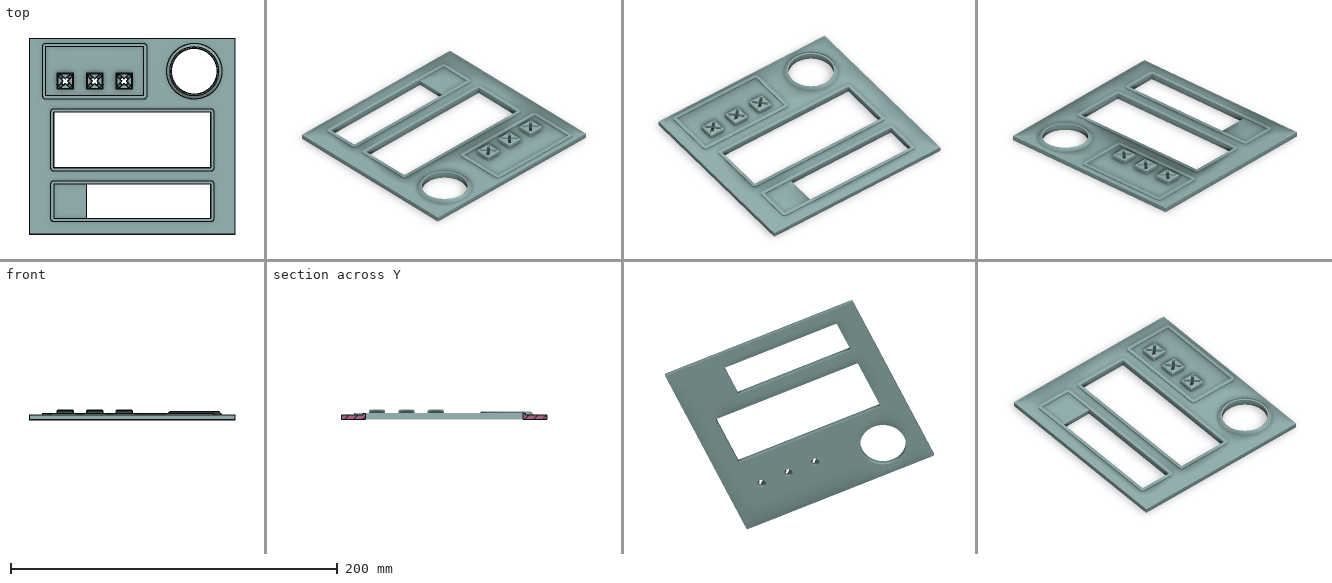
import cadquery as cq

PLATE_X = 126.0
PLATE_Y = 120.0
PLATE_Z = 3.0

RIM_WIDTH = 2.0
RIM_HEIGHT = 1.0
RIM_CORNER_RADIUS = RIM_WIDTH
TOP_MARGIN = 3.0
RIM_GAP = 6.0
COLLAR_GAP = 12.0

LAMP_FIELD_X = 60.0
LAMP_FIELD_Y = 30.0
WINDOW_X = 96.0
DISPLAY_WINDOW_Y = 34.0
LABEL_FIELD_Y = 20.9
LABEL_PAD_X = 20.0

COLLAR_HOLE_DIAMETER = 28.0
COLLAR_SEAT_DIAMETER = 30.0
COLLAR_HEIGHT = 2.0
COLLAR_SEAT_DEPTH = 1.0
COLLAR_BASE_DIAMETER = COLLAR_SEAT_DIAMETER + 2 * COLLAR_HEIGHT

LAMP_COUNT = 3
LAMP_PITCH = 18.0
LAMP_SIZE = 10.0
LAMP_HEIGHT = 3.0
LAMP_EDGE_CHAMFER = 0.5
LAMP_OFFSET_Y = 6.0
LAMP_BORE_DIAMETER = 5.0
CROSS_ARM_LENGTH = 10.2
CROSS_ARM_WIDTH = 1.9
CROSS_DEPTH = 3.0

lamp_rim_x = LAMP_FIELD_X + 2 * RIM_WIDTH
lamp_rim_y = LAMP_FIELD_Y + 2 * RIM_WIDTH
display_rim_y = DISPLAY_WINDOW_Y + 2 * RIM_WIDTH
label_rim_y = LABEL_FIELD_Y + 2 * RIM_WIDTH

side_margin = (PLATE_X - lamp_rim_x - COLLAR_GAP - COLLAR_BASE_DIAMETER) / 2

lamp_rim_top = PLATE_Y / 2 - TOP_MARGIN
display_rim_top = lamp_rim_top - lamp_rim_y - RIM_GAP
label_rim_top = display_rim_top - display_rim_y - RIM_GAP

lamp_field_centre = (-PLATE_X / 2 + side_margin + lamp_rim_x / 2, lamp_rim_top - lamp_rim_y / 2)
display_centre = (0, display_rim_top - display_rim_y / 2)
label_centre = (0, label_rim_top - label_rim_y / 2)
collar_centre = (
    PLATE_X / 2 - side_margin - COLLAR_BASE_DIAMETER / 2,
    lamp_rim_top - COLLAR_BASE_DIAMETER / 2,
)


def make_rim(centre, inner_x, inner_y):
    """Rectangular rim on the plate: rounded outer corners, square inner corners."""
    outer = (
        cq.Workplane("XY", origin=(*centre, PLATE_Z))
        .rect(inner_x + 2 * RIM_WIDTH, inner_y + 2 * RIM_WIDTH)
        .extrude(RIM_HEIGHT)
        .edges("|Z")
        .fillet(RIM_CORNER_RADIUS)
    )
    inner = cq.Workplane("XY", origin=(*centre, PLATE_Z)).rect(inner_x, inner_y).extrude(RIM_HEIGHT)
    return outer.cut(inner)


def make_window(centre, size_x, size_y):
    """Cutter for a rectangular opening through the plate."""
    return cq.Workplane("XY", origin=(*centre, 0)).rect(size_x, size_y).extrude(PLATE_Z)


def make_collar():
    """Conical collar that narrows to a sharp edge at the top of the seat."""
    return (
        cq.Workplane("XY", origin=(*collar_centre, PLATE_Z))
        .circle(COLLAR_BASE_DIAMETER / 2)
        .workplane(offset=COLLAR_HEIGHT)
        .circle(COLLAR_SEAT_DIAMETER / 2)
        .loft()
    )


def make_lamp_housing(centre):
    """Square block with a chamfered top edge."""
    return (
        cq.Workplane("XY", origin=(*centre, PLATE_Z))
        .rect(LAMP_SIZE, LAMP_SIZE)
        .extrude(LAMP_HEIGHT)
        .faces(">Z")
        .chamfer(LAMP_EDGE_CHAMFER)
    )


def make_lamp_opening(centre):
    """Cutter: blind bore from below that meets a diagonal cross sunk in the top."""
    cross_floor = PLATE_Z + LAMP_HEIGHT - CROSS_DEPTH
    opening = cq.Workplane("XY", origin=(*centre, 0)).circle(LAMP_BORE_DIAMETER / 2).extrude(cross_floor)
    for angle in (45, -45):
        arm = (
            cq.Workplane("XY", origin=(*centre, cross_floor))
            .transformed(rotate=(0, 0, angle))
            .rect(CROSS_ARM_LENGTH, CROSS_ARM_WIDTH)
            .extrude(CROSS_DEPTH)
        )
        opening = opening.union(arm)
    return opening


result = cq.Workplane("XY").box(PLATE_X, PLATE_Y, PLATE_Z, centered=(True, True, False))
result = result.cut(make_window(display_centre, WINDOW_X, DISPLAY_WINDOW_Y))
label_window_centre = (label_centre[0] + LABEL_PAD_X / 2, label_centre[1])
result = result.cut(make_window(label_window_centre, WINDOW_X - LABEL_PAD_X, LABEL_FIELD_Y))

result = result.union(make_rim(lamp_field_centre, LAMP_FIELD_X, LAMP_FIELD_Y))
result = result.union(make_rim(display_centre, WINDOW_X, DISPLAY_WINDOW_Y))
result = result.union(make_rim(label_centre, WINDOW_X, LABEL_FIELD_Y))

collar_bore = (
    cq.Workplane("XY", origin=(*collar_centre, 0))
    .circle(COLLAR_HOLE_DIAMETER / 2)
    .extrude(PLATE_Z + COLLAR_HEIGHT)
)
collar_seat = (
    cq.Workplane("XY", origin=(*collar_centre, PLATE_Z + COLLAR_HEIGHT - COLLAR_SEAT_DEPTH))
    .circle(COLLAR_SEAT_DIAMETER / 2)
    .extrude(COLLAR_SEAT_DEPTH)
)
result = result.union(make_collar()).cut(collar_bore).cut(collar_seat)

for index in range(LAMP_COUNT):
    offset_x = (index - (LAMP_COUNT - 1) / 2) * LAMP_PITCH
    lamp_centre = (lamp_field_centre[0] + offset_x, lamp_field_centre[1] - LAMP_OFFSET_Y)
    result = result.union(make_lamp_housing(lamp_centre))
    result = result.cut(make_lamp_opening(lamp_centre))